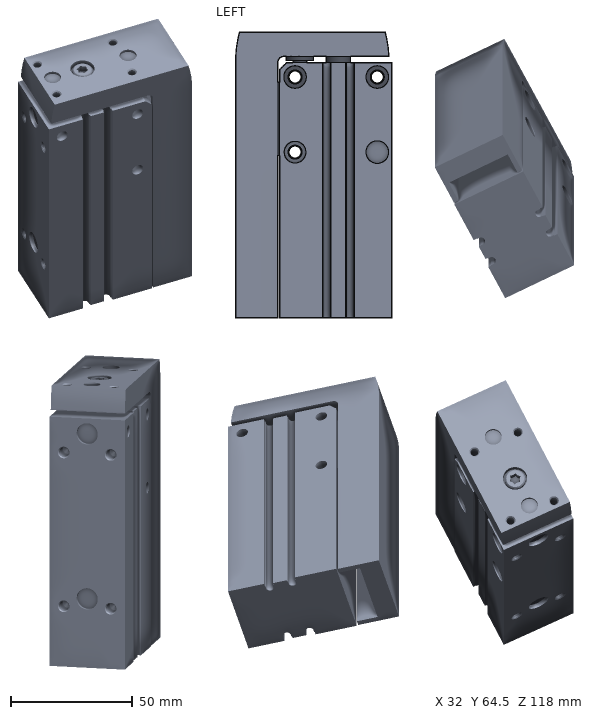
import cadquery as cq
import math


total_height = 118.0
total_depth = 64.5
housing_width = 32.0
housing_depth = 46.4
housing_height = 105.4
housing_chamfer = 2.8
table_width = 31.5
table_front_y = 1.2
plate_thickness = 10.0
leg_front_y = 47.1
corner_fillet = 2.5
end_lip_height = 0.4
end_curve_drop = 1.5
end_curve_radius = 50.0
plate_bottom = total_height - plate_thickness

rail_bottom = 67.0
rail_top = 97.4
channel_width = 27.4
channel_top = 107.5
channel_depth = 8.8
channel_corner_radius = 5.9

rod_y = 22.1
rod_diameter = 10.1

groove_offset = 4.8
groove_width = 3.2
groove_depth = 4.1
mouth_width = 3.7
mouth_depth = 1.4
land_recess = 0.6

bolt_pitch_y = 34.0
bolt_front_y = 6.0
bolt_back_y = bolt_front_y + bolt_pitch_y
bolt_upper_z = 99.5
bolt_lower_z = 68.4
bolt_hole_diameter = 5.0
bolt_lead_in_diameter = 5.8
bolt_recess_diameter = 9.3
lower_recess_diameter = 9.0
deep_recess_depth = 10.6
shallow_recess_depth = 2.1

thread_spacing_x = 20.0
front_thread_levels = (25.5, 90.5)
front_thread_diameter = 4.1
front_thread_mouth = 5.0
front_thread_depth = 7.1
drill_tip_angle = 118.0
front_recess_levels = (29.1, 98.9)
front_recess_diameter = 9.0
front_recess_depth = 1.8

plate_thread_diameter = 3.2
plate_thread_mouth = 4.1
plate_recess_diameter = 7.0
plate_recess_depth = 1.2
plate_recess_front_y = 8.6

screw_pocket_diameter = 10.0
screw_pocket_depth = 2.4
screw_head_diameter = 8.5
screw_head_chamfer = 0.6
screw_head_sink = 0.5
socket_outer_radius = 2.5
socket_inner_radius = 1.9
socket_depth = 3.0
socket_lobes = 6

bumper_y = 38.0
bumper_diameter = 11.5
bumper_thickness = 1.8
bumper_stem_diameter = 5.8


def box(x_range, y_range, z_range):
    """Axis-aligned box between pairs of limits."""
    size = [high - low for low, high in (x_range, y_range, z_range)]
    return cq.Workplane("XY").box(*size, centered=False).translate((x_range[0], y_range[0], z_range[0]))


def rod(start, direction, diameter, length):
    """Cylinder from a start point along a direction."""
    cylinder = cq.Solid.makeCylinder(diameter / 2, length, cq.Vector(*start), cq.Vector(*direction))
    return cq.Workplane(obj=cylinder)


def lead_in(start, direction, mouth_diameter, hole_diameter):
    """45 degree cone that widens a hole at its mouth."""
    depth = (mouth_diameter - hole_diameter) / 2
    cone = cq.Solid.makeCone(
        mouth_diameter / 2, hole_diameter / 2, depth, cq.Vector(*start), cq.Vector(*direction)
    )
    return cq.Workplane(obj=cone)


def both_sides(x):
    return (-x, x)


def housing_block():
    half_width = housing_width / 2
    block = box((-half_width, half_width), (0, housing_depth), (0, housing_height))
    return block.edges(">Y and >Z").chamfer(housing_chamfer)


def guide_rail():
    """Rail that fills the gap behind the housing and the channel in the table leg."""
    half_width = channel_width / 2
    return box((-half_width, half_width), (housing_depth, leg_front_y + channel_depth), (rail_bottom, rail_top))


def side_groove(y):
    """Round-bottomed vertical groove with a wider mouth, in the -X side."""
    face_x = -housing_width / 2
    floor_centre_x = face_x + groove_depth - groove_width / 2
    slot = box((face_x, floor_centre_x), (y - groove_width / 2, y + groove_width / 2), (0, housing_height))
    floor = rod((floor_centre_x, y, 0), (0, 0, 1), groove_width, housing_height)
    mouth = box((face_x, face_x + mouth_depth), (y - mouth_width / 2, y + mouth_width / 2), (0, housing_height))
    return slot.union(floor).union(mouth)


def groove_pair():
    """Two grooves and the slightly sunk land between them, in the -X side."""
    face_x = -housing_width / 2
    grooves = box(
        (face_x, face_x + land_recess), (rod_y - groove_offset, rod_y + groove_offset), (0, housing_height)
    )
    for y in (rod_y - groove_offset, rod_y + groove_offset):
        grooves = grooves.union(side_groove(y))
    return grooves


def side_recess(y, z, diameter, depth):
    return rod((-housing_width / 2, y, z), (1, 0, 0), diameter, depth)


def bolt_hole(y, z, recess_diameter, recess_depth):
    """Hole through the housing along X, with a flat-bottomed recess in the -X side."""
    floor = (-housing_width / 2 + recess_depth, y, z)
    hole = rod((-housing_width / 2, y, z), (1, 0, 0), bolt_hole_diameter, housing_width)
    hole = hole.union(side_recess(y, z, recess_diameter, recess_depth))
    return hole.union(lead_in(floor, (1, 0, 0), bolt_lead_in_diameter, bolt_hole_diameter))


def front_thread(x, z):
    """Blind hole with a conical bottom in the housing front."""
    radius = front_thread_diameter / 2
    tip_length = radius / math.tan(math.radians(drill_tip_angle / 2))
    tip = cq.Solid.makeCone(radius, 0, tip_length, cq.Vector(x, front_thread_depth, z), cq.Vector(0, 1, 0))
    hole = rod((x, 0, z), (0, 1, 0), front_thread_diameter, front_thread_depth)
    hole = hole.union(cq.Workplane(obj=tip))
    return hole.union(lead_in((x, 0, z), (0, 1, 0), front_thread_mouth, front_thread_diameter))


def make_housing():
    body = housing_block().union(guide_rail())
    grooves = groove_pair()
    body = body.cut(grooves).cut(grooves.mirror("YZ"))
    for y in (bolt_front_y, bolt_back_y):
        body = body.cut(bolt_hole(y, bolt_upper_z, bolt_recess_diameter, deep_recess_depth))
    body = body.cut(bolt_hole(bolt_back_y, bolt_lower_z, lower_recess_diameter, shallow_recess_depth))
    body = body.cut(side_recess(bolt_front_y, bolt_lower_z, bolt_recess_diameter, shallow_recess_depth))
    for z in front_thread_levels:
        for x in both_sides(thread_spacing_x / 2):
            body = body.cut(front_thread(x, z))
    for z in front_recess_levels:
        body = body.cut(rod((0, 0, z), (0, 1, 0), front_recess_diameter, front_recess_depth))
    return body


def table_block():
    """L-shaped section: leg at the back, plate on top with both ends curving inward."""
    curve_bottom = plate_bottom + end_lip_height
    section = (
        cq.Workplane("YZ")
        .moveTo(total_depth, 0)
        .lineTo(total_depth, curve_bottom)
        .radiusArc((total_depth - end_curve_drop, total_height), -end_curve_radius)
        .lineTo(table_front_y + end_curve_drop, total_height)
        .radiusArc((table_front_y, curve_bottom), -end_curve_radius)
        .lineTo(table_front_y, plate_bottom)
        .lineTo(leg_front_y - corner_fillet, plate_bottom)
        .radiusArc((leg_front_y, plate_bottom - corner_fillet), corner_fillet)
        .lineTo(leg_front_y, 0)
        .close()
    )
    return section.extrude(table_width / 2, both=True)


def rail_channel():
    """Channel in the leg's front face, open at the bottom, with rounded top corners."""
    half_width = channel_width / 2
    channel = box(
        (-half_width, half_width),
        (leg_front_y - corner_fillet, leg_front_y + channel_depth),
        (0, channel_top),
    )
    return channel.edges("|Y and >Z").fillet(channel_corner_radius)


def plate_thread(x, y):
    """Hole through the plate with a widened mouth."""
    top = (x, y, total_height)
    hole = rod(top, (0, 0, -1), plate_thread_diameter, plate_thickness)
    return hole.union(lead_in(top, (0, 0, -1), plate_thread_mouth, plate_thread_diameter))


def socket_outline():
    """Corners of the star-shaped drive socket, alternating outer and inner."""
    points = []
    for index in range(2 * socket_lobes):
        radius = socket_inner_radius if index % 2 else socket_outer_radius
        angle = math.pi * index / socket_lobes
        points.append((radius * math.cos(angle), radius * math.sin(angle)))
    return points


def screw_head():
    """Chamfered screw head standing on the floor of its pocket."""
    head = rod(
        (0, rod_y, total_height - screw_pocket_depth),
        (0, 0, 1),
        screw_head_diameter,
        screw_pocket_depth - screw_head_sink,
    )
    return head.faces(">Z").chamfer(screw_head_chamfer)


def drive_socket():
    """Star-shaped socket, sunk from the top of the screw head."""
    socket = cq.Workplane("XY").polyline(socket_outline()).close().extrude(-socket_depth)
    return socket.translate((0, rod_y, total_height - screw_head_sink))


def plate_fittings():
    """Rod and stopper bumper that hang from the plate down to the housing top."""
    gap = plate_bottom - housing_height
    down = (0, 0, -1)
    piston_rod = rod((0, rod_y, plate_bottom), down, rod_diameter, gap)
    bumper = rod((0, bumper_y, plate_bottom), down, bumper_diameter, bumper_thickness)
    stem = rod((0, bumper_y, plate_bottom), down, bumper_stem_diameter, gap)
    return piston_rod, bumper, stem


def make_table():
    body = table_block().cut(rail_channel())
    for y in (bolt_front_y, bolt_back_y):
        for x in both_sides(thread_spacing_x / 2):
            body = body.cut(plate_thread(x, y))
    for y in (plate_recess_front_y, plate_recess_front_y + bolt_pitch_y):
        body = body.cut(rod((0, y, total_height), (0, 0, -1), plate_recess_diameter, plate_recess_depth))
    body = body.cut(rod((0, rod_y, total_height), (0, 0, -1), screw_pocket_diameter, screw_pocket_depth))
    body = body.union(screw_head()).cut(drive_socket())
    for fitting in plate_fittings():
        body = body.union(fitting)
    return body


housing = make_housing()
table = make_table()
result = cq.Compound.makeCompound([housing.val(), table.val()])